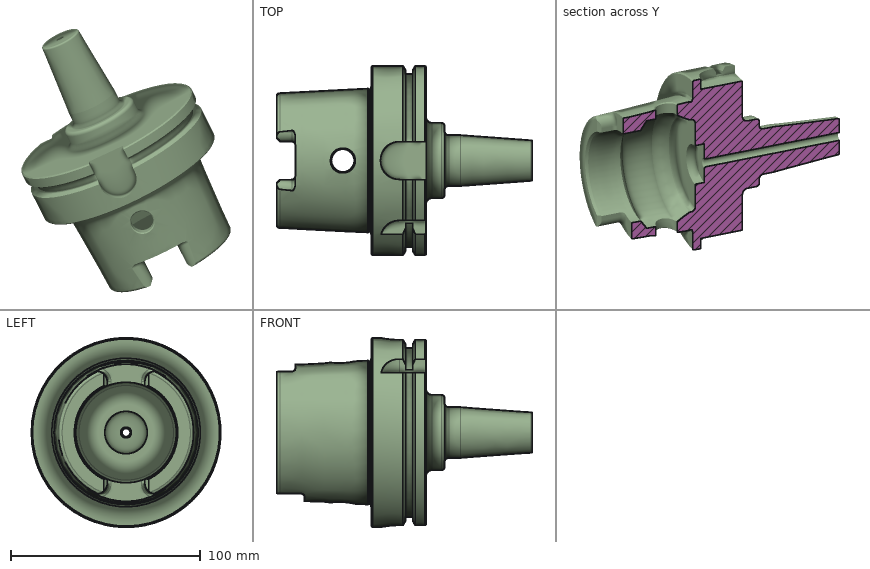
import cadquery as cq
import math


SHANK_END_RADIUS = 35.6
SHANK_END_ROUND = 1.8
SHANK_TAPER = 0.05
RELIEF_START = 48.2
RELIEF_RADIUS = 75.5 / 2
RELIEF_FLARE_LENGTH = 0.5
RELIEF_FLARE_HEIGHT = 1.5

FLANGE_START = 50.0
FLANGE_END = 79.0
FLANGE_RADIUS = 100.0 / 2
FLANGE_CHAMFER = 0.7
GROOVE_CENTER = 69.9
GROOVE_HALF_MOUTH = 3.2
GROOVE_HALF_FLOOR = 1.9
GROOVE_FLARE = math.radians(60)
GROOVE_FLOOR_RADIUS = 45.8
GROOVE_CLEARANCE = 1.4

COLLAR_RADIUS = 20.0
COLLAR_END = 88.7
COLLAR_ROOT_FILLET = 2.8
COLLAR_ROUND = 1.9
NECK_RADIUS = 13.5
NECK_ROOT_FILLET = 2.0
NOSE_START = 96.8
NOSE_END = 135.0
NOSE_HALF_ANGLE = math.radians(4.2)
NOSE_ROUND = 1.0

MOUTH_RADIUS = 53.0 / 2
MOUTH_CHAMFER = 0.8
MOUTH_CHAMFER_LENGTH = 1.5
SHOULDER_START = 20.0
SHOULDER_HALF_ANGLE = math.radians(55)
CAVITY_RADIUS = 63.0 / 2
CAVITY_TAPER_START = 40.5
CAVITY_TAPER_HALF_ANGLE = math.radians(30)
CAVITY_FLOOR_RADIUS = 27.0
CAVITY_FLOOR_FILLET = 2.0
CAVITY_DEPTH = 51.3
POCKET_RADIUS = 22.4 / 2
POCKET_DEPTH = 5.4
COOLANT_RADIUS = 4.3 / 2
COOLANT_CHAMFER = 0.7

CROSS_HOLE_X = 35.0
CROSS_HOLE_RADIUS = 12.0 / 2
CROSS_HOLE_CHAMFER = 0.5
RIM_SEARCH_REACH = 6.8

DRIVE_HALF_WIDTH = 10.0
DRIVE_TOP_DEPTH = 9.9
DRIVE_BOTTOM_DEPTH = 14.7
DRIVE_LUG_HEIGHT = 32.3
DRIVE_LUG_ROUND = 5.1
DRIVE_FLOOR_FILLET = 1.9
DRIVE_MOUTH_CHAMFER = 1.9

KEYWAY_WIDTH = 20.0
KEYWAY_START = 54.8
KEYWAY_FLOOR = 44.0
NOTCH_OFFSET = 31.6


def revolve_about_x(outline):
    return outline.close().revolve(360, (0, 0, 0), (1, 0, 0))


def body():
    """Solid of revolution from the shank end to the nose tip."""
    relief_edge_radius = SHANK_END_RADIUS + SHANK_TAPER * RELIEF_START
    nose_radius = NECK_RADIUS - (NOSE_END - NOSE_START) * math.tan(NOSE_HALF_ANGLE)
    outline = (
        cq.Workplane("XY")
        .moveTo(0, 0)
        .lineTo(0, SHANK_END_RADIUS - SHANK_END_ROUND)
        .radiusArc((SHANK_END_ROUND, SHANK_END_RADIUS), SHANK_END_ROUND)
        .lineTo(RELIEF_START, relief_edge_radius)
        .lineTo(RELIEF_START + relief_edge_radius - RELIEF_RADIUS, RELIEF_RADIUS)
        .lineTo(FLANGE_START - RELIEF_FLARE_LENGTH, RELIEF_RADIUS)
        .lineTo(FLANGE_START, RELIEF_RADIUS + RELIEF_FLARE_HEIGHT)
        .lineTo(FLANGE_START, FLANGE_RADIUS - FLANGE_CHAMFER)
        .lineTo(FLANGE_START + FLANGE_CHAMFER, FLANGE_RADIUS)
        .lineTo(FLANGE_END - FLANGE_CHAMFER, FLANGE_RADIUS)
        .lineTo(FLANGE_END, FLANGE_RADIUS - FLANGE_CHAMFER)
        .lineTo(FLANGE_END, COLLAR_RADIUS + COLLAR_ROOT_FILLET)
        .radiusArc((FLANGE_END + COLLAR_ROOT_FILLET, COLLAR_RADIUS), -COLLAR_ROOT_FILLET)
        .lineTo(COLLAR_END - COLLAR_ROUND, COLLAR_RADIUS)
        .radiusArc((COLLAR_END, COLLAR_RADIUS - COLLAR_ROUND), COLLAR_ROUND)
        .lineTo(COLLAR_END, NECK_RADIUS + NECK_ROOT_FILLET)
        .radiusArc((COLLAR_END + NECK_ROOT_FILLET, NECK_RADIUS), -NECK_ROOT_FILLET)
        .lineTo(NOSE_START, NECK_RADIUS)
        .lineTo(NOSE_END, nose_radius)
        .lineTo(NOSE_END, 0)
    )
    return revolve_about_x(outline).faces(">X").edges().fillet(NOSE_ROUND)


def gripper_groove():
    """Groove around the flange with flared mouth walls."""
    flare_depth = (GROOVE_HALF_MOUTH - GROOVE_HALF_FLOOR) * math.tan(GROOVE_FLARE)
    clearance_radius = FLANGE_RADIUS + GROOVE_CLEARANCE
    outline = (
        cq.Workplane("XY")
        .moveTo(GROOVE_CENTER - GROOVE_HALF_MOUTH, clearance_radius)
        .lineTo(GROOVE_CENTER - GROOVE_HALF_MOUTH, FLANGE_RADIUS)
        .lineTo(GROOVE_CENTER - GROOVE_HALF_FLOOR, FLANGE_RADIUS - flare_depth)
        .lineTo(GROOVE_CENTER - GROOVE_HALF_FLOOR, GROOVE_FLOOR_RADIUS)
        .lineTo(GROOVE_CENTER + GROOVE_HALF_FLOOR, GROOVE_FLOOR_RADIUS)
        .lineTo(GROOVE_CENTER + GROOVE_HALF_FLOOR, FLANGE_RADIUS - flare_depth)
        .lineTo(GROOVE_CENTER + GROOVE_HALF_MOUTH, FLANGE_RADIUS)
        .lineTo(GROOVE_CENTER + GROOVE_HALF_MOUTH, clearance_radius)
    )
    return revolve_about_x(outline)


def clamping_cavity():
    """Stepped cavity: mouth, clamping shoulder, undercut, floor pocket and coolant bore."""
    shoulder_end = SHOULDER_START + (CAVITY_RADIUS - MOUTH_RADIUS) / math.tan(SHOULDER_HALF_ANGLE)
    taper_run = (CAVITY_RADIUS - CAVITY_FLOOR_RADIUS) / math.tan(CAVITY_TAPER_HALF_ANGLE)
    taper_end = CAVITY_TAPER_START + taper_run
    pocket_floor = CAVITY_DEPTH + POCKET_DEPTH
    outline = (
        cq.Workplane("XY")
        .moveTo(0, 0)
        .lineTo(0, MOUTH_RADIUS + MOUTH_CHAMFER)
        .lineTo(MOUTH_CHAMFER_LENGTH, MOUTH_RADIUS)
        .lineTo(SHOULDER_START, MOUTH_RADIUS)
        .lineTo(shoulder_end, CAVITY_RADIUS)
        .lineTo(CAVITY_TAPER_START, CAVITY_RADIUS)
        .lineTo(taper_end, CAVITY_FLOOR_RADIUS)
        .lineTo(CAVITY_DEPTH - CAVITY_FLOOR_FILLET, CAVITY_FLOOR_RADIUS)
        .radiusArc((CAVITY_DEPTH, CAVITY_FLOOR_RADIUS - CAVITY_FLOOR_FILLET), CAVITY_FLOOR_FILLET)
        .lineTo(CAVITY_DEPTH, POCKET_RADIUS)
        .lineTo(pocket_floor, POCKET_RADIUS)
        .lineTo(pocket_floor, COOLANT_RADIUS + COOLANT_CHAMFER)
        .lineTo(pocket_floor + COOLANT_CHAMFER, COOLANT_RADIUS)
        .lineTo(NOSE_END, COOLANT_RADIUS)
        .lineTo(NOSE_END, 0)
    )
    return revolve_about_x(outline)


def with_cross_hole(holder):
    """Drill the access hole through both shank walls and chamfer its two outer rims."""
    hole = (
        cq.Workplane("XY")
        .center(CROSS_HOLE_X, 0)
        .circle(CROSS_HOLE_RADIUS)
        .extrude(FLANGE_RADIUS, both=True)
    )
    holder = holder.cut(hole)
    for side in (1, -1):
        outer_rim = cq.selectors.BoxSelector(
            (CROSS_HOLE_X - RIM_SEARCH_REACH, -RIM_SEARCH_REACH, side * CAVITY_RADIUS),
            (CROSS_HOLE_X + RIM_SEARCH_REACH, RIM_SEARCH_REACH, side * FLANGE_RADIUS),
            boundingbox=True,
        )
        holder = holder.edges(outer_rim).chamfer(CROSS_HOLE_CHAMFER)
    return holder


def drive_slot(depth):
    """Slot across the +Z wall of the shank end, rounded over the tops of the two lugs."""
    reach = FLANGE_RADIUS
    round_center_y = DRIVE_HALF_WIDTH + DRIVE_LUG_ROUND
    slot = (
        cq.Workplane("YZ")
        .moveTo(-DRIVE_HALF_WIDTH, 0)
        .lineTo(DRIVE_HALF_WIDTH, 0)
        .lineTo(DRIVE_HALF_WIDTH, DRIVE_LUG_HEIGHT - DRIVE_LUG_ROUND)
        .radiusArc((round_center_y, DRIVE_LUG_HEIGHT), DRIVE_LUG_ROUND)
        .lineTo(reach, DRIVE_LUG_HEIGHT)
        .lineTo(reach, reach)
        .lineTo(-reach, reach)
        .lineTo(-reach, DRIVE_LUG_HEIGHT)
        .lineTo(-round_center_y, DRIVE_LUG_HEIGHT)
        .radiusArc((-DRIVE_HALF_WIDTH, DRIVE_LUG_HEIGHT - DRIVE_LUG_ROUND), DRIVE_LUG_ROUND)
        .close()
        .extrude(depth)
        .faces(">X")
        .edges("not <Z")
        .fillet(DRIVE_FLOOR_FILLET)
    )
    mouth = (
        cq.Workplane("XY")
        .moveTo(0, -DRIVE_HALF_WIDTH - DRIVE_MOUTH_CHAMFER)
        .lineTo(DRIVE_MOUTH_CHAMFER, -DRIVE_HALF_WIDTH)
        .lineTo(DRIVE_MOUTH_CHAMFER, DRIVE_HALF_WIDTH)
        .lineTo(0, DRIVE_HALF_WIDTH + DRIVE_MOUTH_CHAMFER)
        .close()
        .extrude(reach)
    )
    return slot.union(mouth)


def keyway():
    """Round-ended slot in the +Z side of the flange, open at its +X face."""
    end_center_x = KEYWAY_START + KEYWAY_WIDTH / 2
    top = cq.Workplane("XY").workplane(offset=KEYWAY_FLOOR)
    rounded_end = top.center(end_center_x, 0).circle(KEYWAY_WIDTH / 2).extrude(FLANGE_RADIUS)
    straight = (
        top.center((end_center_x + FLANGE_END) / 2, 0)
        .rect(FLANGE_END - end_center_x, KEYWAY_WIDTH)
        .extrude(FLANGE_RADIUS)
    )
    return rounded_end.union(straight)


def orientation_notch():
    """Corner cut on the -Y, +Z side of the flange with a rounded inner end."""
    end_radius = KEYWAY_WIDTH / 2
    return (
        cq.Workplane("XY")
        .workplane(offset=NOTCH_OFFSET)
        .moveTo(FLANGE_END, -NOTCH_OFFSET)
        .lineTo(KEYWAY_START + end_radius, -NOTCH_OFFSET)
        .radiusArc((KEYWAY_START, -NOTCH_OFFSET - end_radius), -end_radius)
        .lineTo(KEYWAY_START, -FLANGE_RADIUS)
        .lineTo(FLANGE_END, -FLANGE_RADIUS)
        .close()
        .extrude(FLANGE_RADIUS)
    )


def turned_over(cutter):
    """The same cutter moved to the -Z side."""
    return cutter.rotate((0, 0, 0), (1, 0, 0), 180)


result = (
    with_cross_hole(body().cut(clamping_cavity()))
    .cut(gripper_groove())
    .cut(drive_slot(DRIVE_TOP_DEPTH))
    .cut(turned_over(drive_slot(DRIVE_BOTTOM_DEPTH)))
    .cut(keyway())
    .cut(turned_over(keyway()))
    .cut(orientation_notch())
)